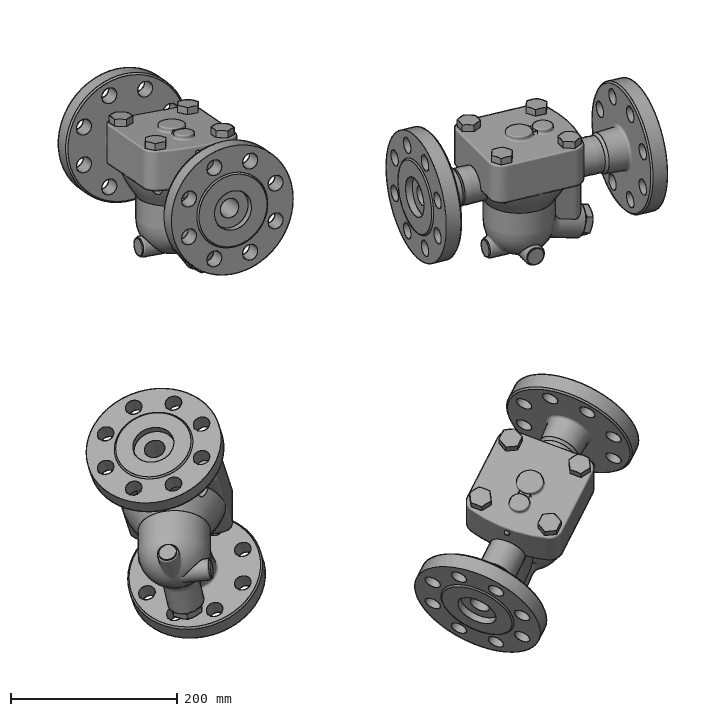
import cadquery as cq
import math

length = 300.0
half_length = length / 2

flange_dia = 165.0
flange_thickness = 21.5
flange_chamfer = 2.0
raised_face_height = 1.8
raised_face_root_dia = 96.0
raised_face_dia = 92.0
bolt_hole_dia = 20.0
bolt_circle_dia = 127.0
bolt_hole_count = 8
counterbore_dia = 50.0
counterbore_depth = 9.0
bore_dia = 25.0
bore_depth = 60.0

hub_fillet = 3.3
hub_root_dia = 54.0
hub_end_dia = 51.0
hub_end_x = 97.8
hub_shoulder_x = 94.0
pipe_dia = 46.0
weld_bead_height = 0.45
weld_bead_outer_x = 89.0
weld_bead_inner_x = 81.3

body_x = -10.2
body_radius = 43.5
bowl_centre_z = -63.0
cylinder_top_z = -32.0
cone_top_z = -19.8
cone_top_radius = 51.5
shoulder_mid_z = -9.0
shoulder_mid_radius = 57.5
shoulder_top_z = 2.0
shoulder_top_radius = 62.0

block_bottom_z = -0.3
block_top_z = 51.5
block_top_fillet = 2.0
block_bottom_fillet = 3.5
corner_radius = 17.0
bolt_spacing = 90.5
bowed_side_radius = 180.0
nut_clearance_dia = 17.5
nut_clearance_depth = 18.0

head_height = 9.3
head_flats = 24.5
head_chamfer = 0.5

boss_height = 6.3
large_boss_dia = 33.0
small_boss_dia = 25.0
small_boss_x = 21.5
boss_base_fillet = 2.5
boss_top_fillet = 1.5
web_width = 13.8
web_height = 4.0

pin_radius = 3.5
pin_tip_x = 62.0
pin_z = 43.2

drain_dia = 26.0
drain_reach = 45.5
drain_z = -93.0
drain_rim_fillet = 2.0
drain_barrel_reach = 43.8
drain_plug_dia = 22.0
drain_root_fillet = 3.0

nozzle_tilt = 15.0
nozzle_dia = 44.0
nozzle_reach = 80.0
nozzle_root_fillet = 16.5
nozzle_root_inset = 0.3
plug_neck_dia = 33.0
plug_start = 82.8
plug_end = 92.5
plug_flats = 34.8
plug_turn = -5.0
plug_chamfer = 1.2

passage_width = 39.5
passage_end_x = 67.5
passage_corner_radius = 13.0


def hexagon_head(flats, height, chamfer, turn=0):
    """Hexagon along +Z from the origin; a cone bevels the corners of its outer face."""
    flat_radius = flats / 2
    tip_radius = flat_radius / math.cos(math.pi / 6)
    prism = cq.Workplane("XY").polygon(6, 2 * tip_radius).extrude(height)
    prism = prism.rotate((0, 0, 0), (0, 0, 1), turn)
    cone_base_radius = flat_radius + height * (tip_radius - flat_radius) / chamfer
    cone = (
        cq.Workplane("XZ")
        .polyline([(0, 0), (cone_base_radius, 0), (flat_radius, height), (0, height)])
        .close()
        .revolve(360, (0, 0, 0), (0, 1, 0))
    )
    return prism.intersect(cone)


def line_end():
    """Flange, hub and pipe on the -X side."""
    face_x = -half_length + raised_face_height
    back_x = face_x + flange_thickness
    return (
        cq.Workplane("XY")
        .moveTo(body_x, 0)
        .lineTo(-half_length, 0)
        .lineTo(-half_length, raised_face_dia / 2)
        .lineTo(face_x, raised_face_root_dia / 2)
        .lineTo(face_x, flange_dia / 2)
        .lineTo(back_x - flange_chamfer, flange_dia / 2)
        .lineTo(back_x, flange_dia / 2 - flange_chamfer)
        .lineTo(back_x, hub_root_dia / 2 + hub_fillet)
        .radiusArc((back_x + hub_fillet, hub_root_dia / 2), -hub_fillet)
        .lineTo(-hub_end_x, hub_end_dia / 2)
        .lineTo(-hub_shoulder_x, pipe_dia / 2)
        .lineTo(-weld_bead_outer_x, pipe_dia / 2)
        .threePointArc(
            (-(weld_bead_outer_x + weld_bead_inner_x) / 2, pipe_dia / 2 + weld_bead_height),
            (-weld_bead_inner_x, pipe_dia / 2),
        )
        .lineTo(body_x, pipe_dia / 2)
        .close()
        .revolve(360, (0, 0, 0), (1, 0, 0))
    )


def line_end_holes():
    """Bolt holes and stepped bore on the -X side."""
    face = cq.Workplane("YZ", origin=(-half_length, 0, 0))
    first_angle = 180 / bolt_hole_count
    bolt_holes = (
        face.polarArray(bolt_circle_dia / 2, first_angle, 360, bolt_hole_count)
        .circle(bolt_hole_dia / 2)
        .extrude(raised_face_height + flange_thickness)
    )
    counterbore = face.circle(counterbore_dia / 2).extrude(counterbore_depth)
    bore = face.circle(bore_dia / 2).extrude(bore_depth)
    return bolt_holes.union(counterbore).union(bore)


def bowl():
    """Hemisphere, cylinder, cone and rounded shoulder around the body axis."""
    return (
        cq.Workplane("XZ", origin=(body_x, 0, 0))
        .moveTo(0, bowl_centre_z - body_radius)
        .radiusArc((body_radius, bowl_centre_z), -body_radius)
        .lineTo(body_radius, cylinder_top_z)
        .lineTo(cone_top_radius, cone_top_z)
        .threePointArc((shoulder_mid_radius, shoulder_mid_z), (shoulder_top_radius, shoulder_top_z))
        .lineTo(0, shoulder_top_z)
        .close()
        .revolve(360, (0, 0, 0), (0, 1, 0))
    )


def cover_block():
    """Square block with corners around the bolts and a bowed +X side."""
    bolt = bolt_spacing / 2
    edge = bolt + corner_radius
    diagonal = corner_radius * math.sqrt(0.5)
    bow_centre_x = bolt - math.sqrt((bowed_side_radius - corner_radius) ** 2 - bolt**2)
    bow_angle = math.asin(bolt / (bowed_side_radius - corner_radius))
    tangent_x = bolt + corner_radius * math.cos(bow_angle)
    tangent_y = bolt + corner_radius * math.sin(bow_angle)
    mid_angle = (bow_angle + math.pi / 2) / 2
    mid_x = bolt + corner_radius * math.cos(mid_angle)
    mid_y = bolt + corner_radius * math.sin(mid_angle)
    outline = (
        cq.Workplane("XY", origin=(body_x, 0, block_bottom_z))
        .moveTo(-bolt, edge)
        .lineTo(bolt, edge)
        .threePointArc((mid_x, mid_y), (tangent_x, tangent_y))
        .threePointArc((bow_centre_x + bowed_side_radius, 0), (tangent_x, -tangent_y))
        .threePointArc((mid_x, -mid_y), (bolt, -edge))
        .lineTo(-bolt, -edge)
        .threePointArc((-bolt - diagonal, -bolt - diagonal), (-edge, -bolt))
        .lineTo(-edge, bolt)
        .threePointArc((-bolt - diagonal, bolt + diagonal), (-bolt, edge))
        .close()
    )
    block = outline.extrude(block_top_z - block_bottom_z)
    block = block.faces(">Z").edges().fillet(block_top_fillet)
    return block.faces("<Z").edges().fillet(block_bottom_fillet)


def nut_clearances():
    """Vertical cylinders that make room for the nuts under the block corners."""
    return (
        cq.Workplane("XY", origin=(body_x, 0, block_bottom_z))
        .rect(bolt_spacing, bolt_spacing, forConstruction=True)
        .vertices()
        .circle(nut_clearance_dia / 2)
        .extrude(-nut_clearance_depth)
    )


def bolt_heads():
    """Each head is turned a quarter turn from the next one around the body axis."""
    bolt = bolt_spacing / 2
    first = hexagon_head(head_flats, head_height, head_chamfer).translate((bolt, bolt, block_top_z))
    heads = cq.Workplane("XY")
    for quarter in range(4):
        heads = heads.add(first.rotate((0, 0, 0), (0, 0, 1), 90 * quarter))
    return heads.combine().translate((body_x, 0, 0))


def cover_boss(x, diameter):
    """Round boss with a flared foot and a rounded rim."""
    radius = diameter / 2
    return (
        cq.Workplane("XZ", origin=(x, 0, block_top_z))
        .lineTo(radius + boss_base_fillet, 0)
        .radiusArc((radius, boss_base_fillet), boss_base_fillet)
        .lineTo(radius, boss_height - boss_top_fillet)
        .radiusArc((radius - boss_top_fillet, boss_height), -boss_top_fillet)
        .lineTo(0, boss_height)
        .close()
        .revolve(360, (0, 0, 0), (0, 1, 0))
    )


def cover_web():
    """Low web between the two bosses, flared at the foot like them."""
    half = web_width / 2
    foot = half + boss_base_fillet
    return (
        cq.Workplane("YZ", origin=(body_x, 0, block_top_z))
        .moveTo(-foot, 0)
        .lineTo(foot, 0)
        .radiusArc((half, boss_base_fillet), boss_base_fillet)
        .lineTo(half, web_height)
        .lineTo(-half, web_height)
        .lineTo(-half, boss_base_fillet)
        .radiusArc((-foot, 0), boss_base_fillet)
        .close()
        .extrude(small_boss_x - body_x)
    )


def pin():
    """Ball partly sunk into the bowed side."""
    return cq.Workplane("XY").sphere(pin_radius).translate((pin_tip_x - pin_radius, 0, pin_z))


def drain_boss():
    """Horizontal boss with a round plug, from the body axis toward -Y."""
    base = cq.Workplane("XZ", origin=(body_x, 0, drain_z))
    barrel = base.circle(drain_dia / 2).extrude(drain_barrel_reach)
    barrel = barrel.faces("<Y").edges().fillet(drain_rim_fillet)
    plug = base.circle(drain_plug_dia / 2).extrude(drain_reach)
    return barrel.union(plug)


def nozzle():
    """Nozzle and plug, built along +X from the bowl centre and then tilted down."""
    radius = nozzle_dia / 2
    fillet_y = radius + nozzle_root_fillet
    root_radius = body_radius - nozzle_root_inset
    fillet_x = math.sqrt((root_radius + nozzle_root_fillet) ** 2 - fillet_y**2)
    on_root = root_radius / (root_radius + nozzle_root_fillet)
    barrel = (
        cq.Workplane("XY")
        .lineTo(fillet_x * on_root, fillet_y * on_root)
        .radiusArc((fillet_x, radius), -nozzle_root_fillet)
        .lineTo(nozzle_reach, radius)
        .lineTo(nozzle_reach, plug_neck_dia / 2)
        .lineTo(plug_start, plug_neck_dia / 2)
        .lineTo(plug_start, 0)
        .close()
        .revolve(360, (0, 0, 0), (1, 0, 0))
    )
    plug = (
        hexagon_head(plug_flats, plug_end - plug_start, plug_chamfer, plug_turn)
        .rotate((0, 0, 0), (0, 1, 0), 90)
        .translate((plug_start, 0, 0))
    )
    return (
        barrel.union(plug)
        .rotate((0, 0, 0), (0, 1, 0), nozzle_tilt)
        .translate((body_x, 0, bowl_centre_z))
    )


def passage():
    """Vertical passage whose slanted bottom lies on the nozzle axis."""
    drop = (passage_end_x - body_x) * math.tan(math.radians(nozzle_tilt))
    return (
        cq.Workplane("XZ")
        .polyline([
            (body_x, 0),
            (passage_end_x, 0),
            (passage_end_x, bowl_centre_z - drop),
            (body_x, bowl_centre_z),
        ])
        .close()
        .extrude(passage_width / 2, both=True)
        .edges("|Z and >X")
        .fillet(passage_corner_radius)
    )


left_end = line_end()
left_holes = line_end_holes()

front_drain = drain_boss()
side_drain = front_drain.rotate((body_x, 0, 0), (body_x, 0, 1), -90)
side_drain_root = cq.selectors.NearestToPointSelector((body_x - body_radius / 2, 0, drain_z))
lower_body = bowl().union(side_drain).edges(side_drain_root).fillet(drain_root_fillet)
lower_body = lower_body.union(front_drain)

result = lower_body.cut(nut_clearances()).union(cover_block())
result = result.union(left_end).union(left_end.mirror("YZ"))
result = result.union(passage()).union(nozzle())
result = result.union(bolt_heads()).union(pin())
result = result.union(cover_web())
result = result.union(cover_boss(body_x, large_boss_dia)).union(cover_boss(small_boss_x, small_boss_dia))
result = result.cut(left_holes).cut(left_holes.mirror("YZ"))